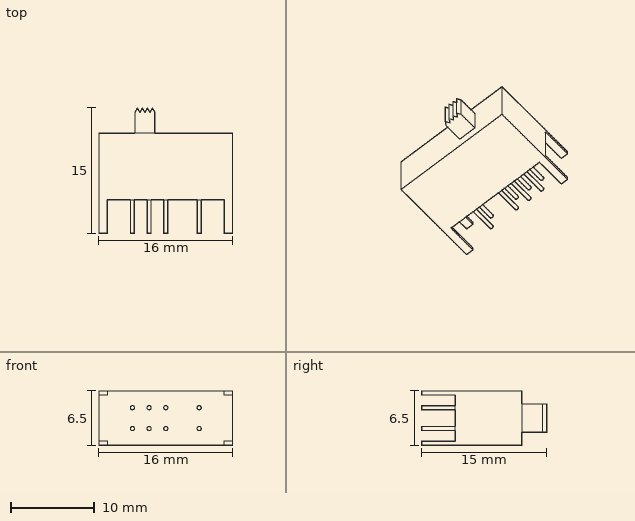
import cadquery as cq

body_length = 16.0
body_depth = 8.0
body_height = 6.5

leg_length = 4.0
leg_width = 1.0
leg_thickness = 0.5

pin_diameter = 0.5
pin_length = leg_length
pin_pitch = 2.0
pin_slots = (-2, -1, 0, 2)
pin_row_spacing = 2.5

actuator_center_x = -2.5
actuator_width = 2.4
actuator_height = 3.4
actuator_reach = 3.0
tooth_count = 4
tooth_depth = 0.5


def make_body():
    return cq.Workplane("XY").box(
        body_length, body_depth, body_height, centered=(True, False, True)
    )


def make_legs():
    spacing_x = body_length - leg_width
    spacing_z = body_height - leg_thickness
    return (
        cq.Workplane("XZ")
        .rarray(spacing_x, spacing_z, 2, 2)
        .rect(leg_width, leg_thickness)
        .extrude(leg_length)
    )


def make_pins():
    centers = [
        (slot * pin_pitch, side * pin_row_spacing / 2)
        for slot in pin_slots
        for side in (-1, 1)
    ]
    return (
        cq.Workplane("XZ")
        .pushPoints(centers)
        .circle(pin_diameter / 2)
        .extrude(pin_length)
    )


def make_actuator():
    left = actuator_center_x - actuator_width / 2
    right = left + actuator_width
    tip_y = body_depth + actuator_reach
    root_y = tip_y - tooth_depth
    tooth_pitch = actuator_width / tooth_count

    outline = [(right, body_depth), (left, body_depth), (left, root_y)]
    for tooth in range(tooth_count):
        tooth_start = left + tooth * tooth_pitch
        outline.append((tooth_start + tooth_pitch / 2, tip_y))
        outline.append((tooth_start + tooth_pitch, root_y))

    return (
        cq.Workplane("XY")
        .polyline(outline)
        .close()
        .extrude(actuator_height / 2, both=True)
    )


result = make_body().union(make_legs()).union(make_pins()).union(make_actuator())